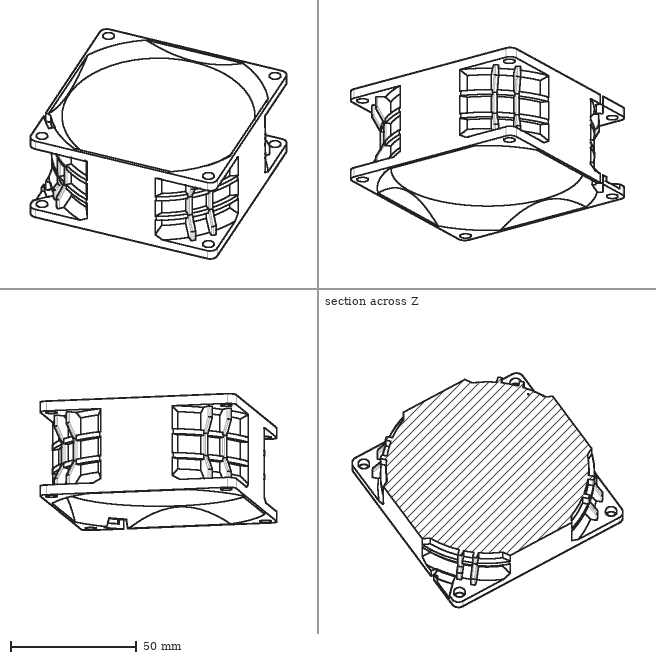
import cadquery as cq
import math

side = 80.0
height = 38.0
half = side / 2
mid_z = height / 2
corner_radius = 3.0
flange = 4.0
flange_gap = height - 2 * flange
hole_pitch = 71.5
hole_diameter = 4.5

floor_radius = 38.5
mouth_radius = 44.0
mouth_half_width = 38.75
inlet_depth = 5.1
outlet_depth = 8.2
mouth_flare = mouth_radius - floor_radius

wall = 2.0
barrel_radius = floor_radius + wall
recess_edge = 14.55
recess_side_angle = 30.0

ring_radius = 42.7
ring_width = 2.0
ring_pitch = 9.7
lower_ring_z = 13.0

rib_width = 2.0
rib_offset = 4.45
rib_edge_radius = 0.5
rib_waist = 42.65
rib_reach = 46.0
rib_waist_half_height = 4.5
rib_bend_half_height = 10.6

slot_rib_offset = 1.55
slot_rib_waist = 42.9
slot_rib_reach = 44.75
slot_rib_waist_half_height = 8.3
slot_rib_bend_half_height = 10.2

slot_inner_radius = 43.4
slot_outer_radius = 46.2
slot_side_y = -21.3
slot_end_angle = 180.0 + 40.6

slot_undercut_radius = 41.8
slot_undercut_height = 3.2

notch_floor_z = 2.0
notch_near_y = -25.7
notch_far_y = -34.9


def cone_band(z_end, direction, depth):
    """Solid whose side is the mouth cone moved out by the wall thickness, down to the barrel."""
    slope = mouth_flare / depth
    end_radius = mouth_radius + wall * math.hypot(1, slope)
    band = (end_radius - barrel_radius) / slope
    z_barrel = z_end + direction * band
    outline = [(0, z_end), (end_radius, z_end), (barrel_radius, z_barrel), (0, z_barrel)]
    return cq.Workplane("XZ").polyline(outline).close().revolve(360, (0, 0, 0), (0, 1, 0))


def make_barrel():
    barrel = cq.Workplane("XY").circle(barrel_radius).extrude(height)
    barrel = barrel.union(cone_band(0, 1, outlet_depth))
    barrel = barrel.union(cone_band(height, -1, inlet_depth))
    for z_low in (lower_ring_z, lower_ring_z + ring_pitch):
        ring = cq.Workplane("XY", origin=(0, 0, z_low)).circle(ring_radius).extrude(ring_width)
        barrel = barrel.union(ring)
    return barrel


def make_rib(angle, offset, waist, reach, waist_half_height, bend_half_height):
    """Waisted rib along the diagonal at `angle`, moved sideways by `offset`."""
    outline = [
        (floor_radius, flange),
        (reach, flange),
        (reach, mid_z - bend_half_height),
        (waist, mid_z - waist_half_height),
        (waist, mid_z + waist_half_height),
        (reach, mid_z + bend_half_height),
        (reach, height - flange),
        (floor_radius, height - flange),
    ]
    rib = cq.Workplane("XZ").polyline(outline).close().extrude(rib_width / 2, both=True)
    outer_edges = cq.selectors.BoxSelector((barrel_radius, -side, 0), (side, side, height))
    rib = rib.edges("not (|X or |Y)").edges(outer_edges).fillet(rib_edge_radius)
    return rib.translate((0, offset, 0)).rotate((0, 0, 0), (0, 0, 1), angle)


def make_recess(angle):
    """Corner pocket between the flanges; its sides lean toward the diagonal going inward."""
    lean = math.tan(math.radians(recess_side_angle))
    inner_x = floor_radius / 2
    inner = (inner_x, recess_edge + (half - inner_x) * lean)
    outer = (side, recess_edge - (side - half) * lean)
    outline = [inner, outer, (side, side), outer[::-1], inner[::-1]]
    recess = cq.Workplane("XY", origin=(0, 0, flange)).polyline(outline).close().extrude(flange_gap)
    return recess.rotate((0, 0, 0), (0, 0, 1), angle - 45)


def make_mouth(depth):
    """Cone with its wide end at z = 0, trimmed to a square."""
    outline = [(0, 0), (mouth_radius, 0), (floor_radius, depth), (0, depth)]
    cone = cq.Workplane("XZ").polyline(outline).close().revolve(360, (0, 0, 0), (0, 1, 0))
    return cone.intersect(cq.Workplane("XY").rect(2 * mouth_half_width, 2 * mouth_half_width).extrude(depth))


def slot_sector(inner_radius, z_low, z_high):
    """Part of a ring between the straight side of the slot and its radial end."""
    plane = cq.Workplane("XY", origin=(0, 0, z_low))
    ring = plane.circle(slot_outer_radius).circle(inner_radius).extrude(z_high - z_low)
    end = math.radians(slot_end_angle)
    end_point = (side * math.cos(end), side * math.sin(end))
    side_start = (slot_side_y / math.tan(end), slot_side_y)
    wedge = plane.polyline([side_start, (-side, slot_side_y), end_point]).close().extrude(z_high - z_low)
    return ring.intersect(wedge)


def make_slot():
    slot = slot_sector(slot_inner_radius, height - flange, height)
    slot = slot.union(slot_sector(slot_inner_radius, 0, flange))
    return slot.union(slot_sector(slot_undercut_radius, 0, slot_undercut_height))


def make_notch():
    """Notch with 45 degree sides, running from the -X side in to the cable slot."""
    outline = [
        (-half, notch_near_y),
        (-half, notch_far_y),
        (0, notch_far_y + half),
        (0, notch_near_y + half),
    ]
    plane = cq.Workplane("XY", origin=(0, 0, notch_floor_z))
    notch = plane.polyline(outline).close().extrude(flange - notch_floor_z)
    return notch.cut(cq.Workplane("XY").circle(slot_inner_radius).extrude(height))


def recess_contents(corner):
    """Barrel and the two upright ribs that stay standing in one corner recess."""
    contents = barrel.union(make_rib(corner, rib_offset, *rib_shape))
    if corner == slot_corner:
        return contents.union(make_rib(corner, -slot_rib_offset, *slot_rib_shape))
    return contents.union(make_rib(corner, -rib_offset, *rib_shape))


barrel = make_barrel()
rib_shape = (rib_waist, rib_reach, rib_waist_half_height, rib_bend_half_height)
slot_rib_shape = (slot_rib_waist, slot_rib_reach, slot_rib_waist_half_height, slot_rib_bend_half_height)
slot_corner = 225

body = cq.Workplane("XY").rect(side, side).extrude(height).edges("|Z").fillet(corner_radius)
for corner in (45, 135, slot_corner, 315):
    body = body.cut(make_recess(corner).cut(recess_contents(corner)))

body = body.cut(make_mouth(outlet_depth))
body = body.cut(make_mouth(inlet_depth).mirror("XY").translate((0, 0, height)))
holes = cq.Workplane("XY").rect(hole_pitch, hole_pitch, forConstruction=True).vertices()
body = body.cut(holes.circle(hole_diameter / 2).extrude(height))
body = body.cut(make_slot()).cut(make_notch())

result = body